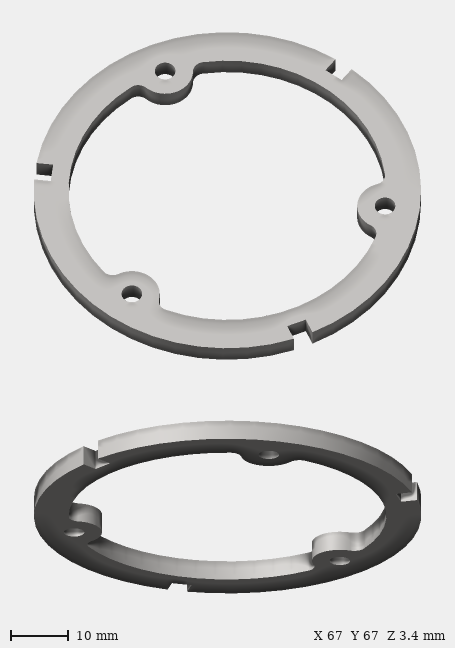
import cadquery as cq

outer_radius = 33.5
inner_radius = 27.5
thickness = 3.4

lug_count = 3
first_lug_angle = 30
lug_pitch = 360 / lug_count
lug_radius = 4.8
lug_hole_diameter = 3.55
lug_fillet = 2.0

notch_width = 3.5
notch_depth = 2.95
notch_count = lug_count
first_notch_angle = first_lug_angle + lug_pitch / 2


def on_lug_circle():
    """Bottom-plane points at the centres of the lugs."""
    return cq.Workplane("XY").polarArray(inner_radius, first_lug_angle, 360, lug_count)


def lugged_ring():
    """Flat ring with round lugs blended into its bore."""
    ring = cq.Workplane("XY").circle(outer_radius).circle(inner_radius).extrude(thickness)
    lugs = on_lug_circle().circle(lug_radius).extrude(thickness)
    half_box = (inner_radius + outer_radius) / 2
    bore_corners = cq.selectors.BoxSelector(
        (-half_box, -half_box, 0),
        (half_box, half_box, thickness),
    )
    return ring.union(lugs).edges("|Z").edges(bore_corners).fillet(lug_fillet)


def rim_notches():
    """Square-bottomed radial cutters, open at the rim."""
    floor_radius = outer_radius - notch_depth
    cutter_length = 2 * notch_depth
    return (
        cq.Workplane("XY")
        .polarArray(floor_radius + cutter_length / 2, first_notch_angle, 360, notch_count)
        .rect(cutter_length, notch_width)
        .extrude(thickness)
    )


lug_holes = on_lug_circle().circle(lug_hole_diameter / 2).extrude(thickness)

result = lugged_ring().cut(lug_holes).cut(rim_notches())